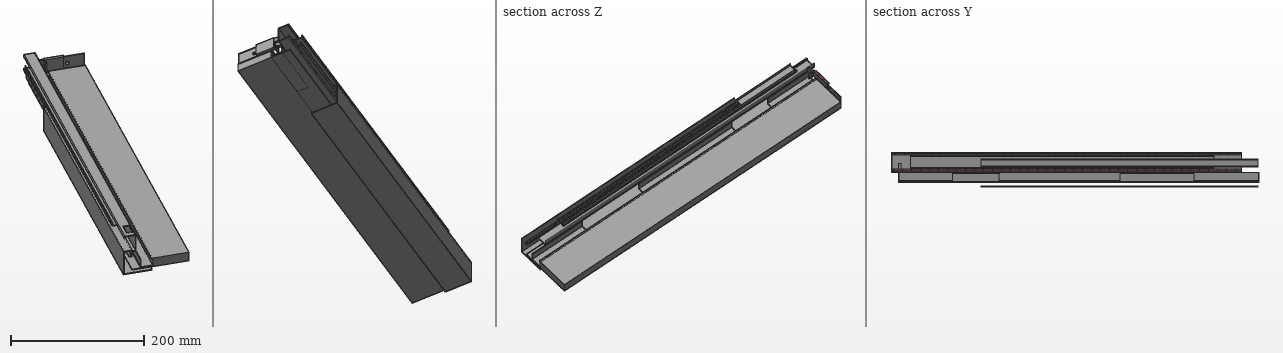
import cadquery as cq

LENGTH = 551.5
DEPTH = 102.5
HEIGHT = 52.0
SHEET = 1.5
WALL = 1.0

PANEL_START, PANEL_END = 134.5, 550.5
PANEL_TOP = 42.0
PANEL_FOOT_DEPTH = 45.0
PANEL_HOOK_DEPTH = 14.0
HOOK_TOE_Y = 9.0
HOOK_TOE_Z = 30.0

OUTER_LENGTH = 525.5
OUTER_FRONT, OUTER_BACK = 9.0, 27.5
OUTER_BOTTOM = 22.0
TOP_LIP_END = 48.0
BOTTOM_LIP_END = 27.0
OUTER_BEND = 1.95
WINDOW_START, WINDOW_END = 498.0, 517.0
WINDOW_FRONT, WINDOW_BACK = 15.5, 24.0

MIDDLE_START, MIDDLE_END = 28.5, 484.0
MIDDLE_GAUGE = 1.4
MIDDLE_BACK = 20.5
MIDDLE_BOTTOM = 28.0
MIDDLE_TOP = 47.0
UPPER_LIP_Y, UPPER_LIP_TOP = 2.0, 51.0
LOWER_LIP_Y, LOWER_LIP_TOP = 4.5, 37.0
RIDGE_FRONT, RIDGE_BACK = 15.0, 19.5
RIDGE_HEIGHT = 1.4

TRAY_START = 10.5
TRAY_FRONT = 13.0
TRAY_BOTTOM = 6.5
TRAY_TOP = OUTER_BOTTOM
BLOCK_FRONT = 46.0
LID_FRONT = 43.5
FLOOR_TOP = TRAY_BOTTOM + SHEET

BRACKET_SPANS = ((TRAY_START, 91.5), (161.5, 343.0), (454.0, LENGTH))

PLATE_START = 10.0
PLATE_END = PLATE_START + SHEET
PLATE_BACK = 101.0
PLATE_BOTTOM, PLATE_TOP = TRAY_TOP, 43.5
PAD_START = 6.5
PAD_FRONT, PAD_BACK = 39.0, 69.0
HOLE_Y, HOLE_Z = 74.5, 31.0
HOLE_DIAMETER = 5.0
FLANGE_END = 20.5
TAB_START = 8.0
TAB_FRONT = 28.5
FOOT_FRONT = 32.5
STEP_BOTTOM, STEP_TOP = 25.0, 35.5
STEP_BACK = 37.5
STEP_END = 14.0


def box(x_span, y_span, z_span):
    """Axis-aligned block between the given limits."""
    sizes = [high - low for low, high in (x_span, y_span, z_span)]
    return cq.Workplane("XY").box(*sizes, centered=False).translate((x_span[0], y_span[0], z_span[0]))


def extrude_profile(points, start, end):
    """Closed (Y, Z) outline pushed along X from start to end."""
    return cq.Workplane("YZ", origin=(start, 0, 0)).polyline(points).close().extrude(end - start)


def make_front_panel():
    """Folded panel: foot at the bottom, face, and a hook that runs on the middle rail."""
    foot_back = PANEL_FOOT_DEPTH
    hook_back = PANEL_HOOK_DEPTH
    hook_inside = hook_back - SHEET
    toe_top = HOOK_TOE_Z + SHEET
    outline = [
        (0, 0),
        (foot_back, 0),
        (foot_back, SHEET),
        (SHEET, SHEET),
        (SHEET, PANEL_TOP - SHEET),
        (hook_inside, PANEL_TOP - SHEET),
        (hook_inside, toe_top),
        (HOOK_TOE_Y, toe_top),
        (HOOK_TOE_Y, HOOK_TOE_Z),
        (hook_back, HOOK_TOE_Z),
        (hook_back, PANEL_TOP),
        (0, PANEL_TOP),
    ]
    return extrude_profile(outline, PANEL_START, PANEL_END)


def make_outer_rail():
    """C-shaped rail, open to the front, with rounded bends and a window in its top."""
    inner_back = OUTER_BACK - WALL
    lip_back = OUTER_FRONT + SHEET
    roof = HEIGHT - SHEET
    floor = OUTER_BOTTOM + SHEET
    rail = box((0, OUTER_LENGTH), (OUTER_FRONT, OUTER_BACK), (OUTER_BOTTOM, HEIGHT))
    rail = rail.edges("|X").fillet(OUTER_BEND)
    cavity = box((0, OUTER_LENGTH), (lip_back, inner_back), (floor, roof))
    mouth = box((0, OUTER_LENGTH), (OUTER_FRONT, lip_back), (BOTTOM_LIP_END, TOP_LIP_END))
    window = box((WINDOW_START, WINDOW_END), (WINDOW_FRONT, WINDOW_BACK), (roof, HEIGHT))
    return rail.cut(cavity).cut(mouth).cut(window)


def make_middle_rail():
    """Folded rail between the outer rail and the panel, with a bearing ridge above and below."""
    gauge = MIDDLE_GAUGE
    inner_back = MIDDLE_BACK - gauge
    roof = MIDDLE_TOP - gauge
    floor = MIDDLE_BOTTOM + gauge
    outline = [
        (LOWER_LIP_Y, MIDDLE_BOTTOM),
        (RIDGE_FRONT, MIDDLE_BOTTOM),
        (RIDGE_FRONT, MIDDLE_BOTTOM - RIDGE_HEIGHT),
        (RIDGE_BACK, MIDDLE_BOTTOM - RIDGE_HEIGHT),
        (RIDGE_BACK, MIDDLE_BOTTOM),
        (MIDDLE_BACK, MIDDLE_BOTTOM),
        (MIDDLE_BACK, MIDDLE_TOP),
        (RIDGE_BACK, MIDDLE_TOP),
        (RIDGE_BACK, MIDDLE_TOP + RIDGE_HEIGHT),
        (RIDGE_FRONT, MIDDLE_TOP + RIDGE_HEIGHT),
        (RIDGE_FRONT, MIDDLE_TOP),
        (UPPER_LIP_Y + gauge, MIDDLE_TOP),
        (UPPER_LIP_Y + gauge, UPPER_LIP_TOP),
        (UPPER_LIP_Y, UPPER_LIP_TOP),
        (UPPER_LIP_Y, roof),
        (inner_back, roof),
        (inner_back, floor),
        (LOWER_LIP_Y + gauge, floor),
        (LOWER_LIP_Y + gauge, LOWER_LIP_TOP),
        (LOWER_LIP_Y, LOWER_LIP_TOP),
    ]
    return extrude_profile(outline, MIDDLE_START, MIDDLE_END)


def make_tray():
    """Floor sheet with a raised block at the back, topped by a slightly overhanging lid."""
    length = (TRAY_START, LENGTH)
    floor = box(length, (TRAY_FRONT, DEPTH), (TRAY_BOTTOM, FLOOR_TOP))
    block = box(length, (BLOCK_FRONT, DEPTH), (TRAY_BOTTOM, TRAY_TOP))
    lid = box(length, (LID_FRONT, DEPTH), (TRAY_TOP - SHEET, TRAY_TOP))
    return floor.union(block).union(lid)


def make_bracket(start, end):
    """L-shaped bracket: its foot lies on the tray floor and its wall carries the outer rail."""
    wall_front = OUTER_BACK - WALL
    foot_top = FLOOR_TOP + SHEET
    outline = [
        (wall_front, FLOOR_TOP),
        (BLOCK_FRONT, FLOOR_TOP),
        (BLOCK_FRONT, foot_top),
        (OUTER_BACK, foot_top),
        (OUTER_BACK, OUTER_BOTTOM),
        (wall_front, OUTER_BOTTOM),
    ]
    return extrude_profile(outline, start, end)


def make_end_plate():
    """Upright plate at the near end: raised pad, hole, return flange and a stepped front tab."""
    heights = (PLATE_BOTTOM, PLATE_TOP)
    plate = box((PLATE_START, PLATE_END), (PAD_FRONT, PLATE_BACK), heights)
    hole = cq.Workplane("YZ", origin=(PLATE_START, HOLE_Y, HOLE_Z)).circle(HOLE_DIAMETER / 2).extrude(SHEET)
    pad = box((PAD_START, PLATE_START), (PAD_FRONT, PAD_BACK), heights)
    flange = box((PLATE_START, FLANGE_END), (PAD_FRONT - SHEET, PAD_FRONT), heights)

    tab = box((TAB_START, PLATE_END), (TAB_FRONT, PAD_FRONT), heights)
    recess = box((TAB_START, PLATE_START), (TAB_FRONT, STEP_BACK), (STEP_BOTTOM, STEP_TOP))
    corner = box((TAB_START, PLATE_END), (TAB_FRONT, FOOT_FRONT), (PLATE_BOTTOM, STEP_BOTTOM))
    step = box((PLATE_START, STEP_END), (OUTER_BACK, STEP_BACK), (STEP_BOTTOM, STEP_TOP))
    tab = tab.cut(recess).cut(corner).union(step)
    return plate.cut(hole).union(pad).union(flange).union(tab)


front_panel = make_front_panel()
outer_rail = make_outer_rail()
middle_rail = make_middle_rail()
tray = make_tray()
end_plate = make_end_plate()
brackets = [make_bracket(start, end) for start, end in BRACKET_SPANS]

result = cq.Compound.makeCompound(
    [
        front_panel.val(),
        outer_rail.val(),
        middle_rail.val(),
        tray.val(),
        end_plate.val(),
        *[bracket.val() for bracket in brackets],
    ]
)